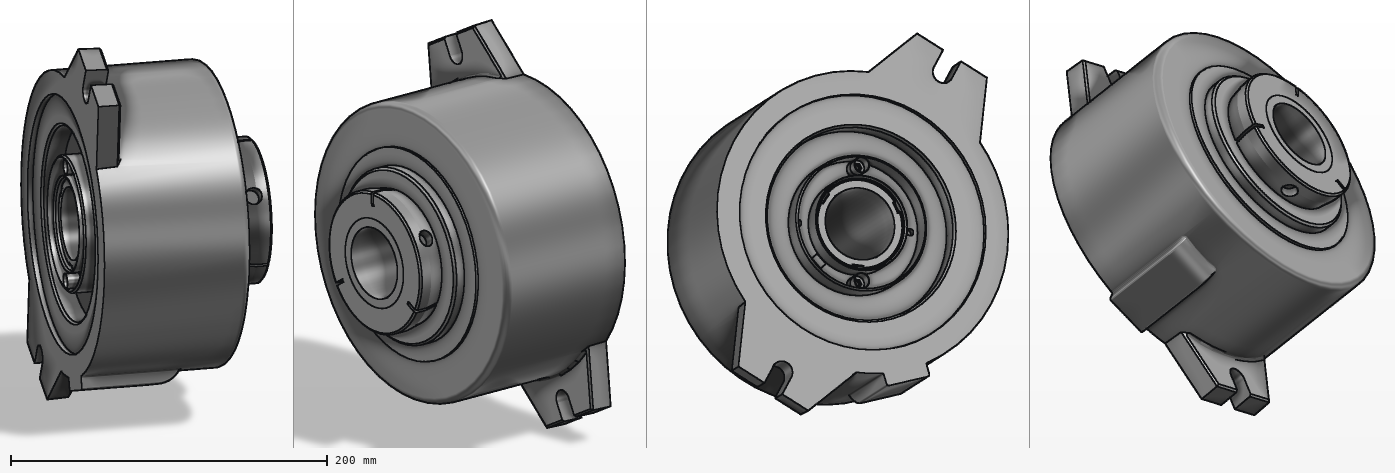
import cadquery as cq
import math


housing_radius = 97.86
housing_depth = 96.2
housing_edge_radius = 4.5
pad_radius = 69.5
pad_top = 98.0
neck_radius = 57.6
neck_top = 105.8
neck_chamfer = 1.5

lug_angle = 62.0
lug_reach = 127.8
lug_tip_half_width = 26.5
lug_root_half_width = 42.4
lug_root_reach = math.sqrt(housing_radius**2 - lug_root_half_width**2)
lug_thickness = 15.0
lug_draft = 2.0
lug_edge_chamfer = 1.3
lug_root_fillet = 2.0
slot_center_reach = 114.8
slot_radius = 6.8

boss_angle = -73.0
boss_reach = 105.3
boss_half_width = 15.0
boss_length = 67.7
boss_end_radius = 17.5
boss_corner_radius = 1.5
boss_root_fillet = 1.5

face_recess_radius = 82.7
face_recess_depth = 3.5
trough_radius = 62.5
trough_depth = 17.0
trough_chamfer = 1.5
rim_radius = 43.9
rim_front = 1.8
rim_chamfer = 1.3
rim_inner_radius = rim_radius - rim_chamfer
well_depth = 16.0
hub_radius = 30.8
hub_front = 2.3
hub_mouth_chamfer = 1.3

sleeve_radius = 29.3
sleeve_bore_radius = 23.3
sleeve_front = 5.3
sleeve_chamfer = 1.0
notch_radius = 3.8
notch_floor = 26.8

screw_circle_radius = 37.5
pin_hole_radius = 2.3
pin_hole_depth = 5.0
key_angle = 225.0
key_reach = 35.8
key_width = 8.5
key_depth = 0.5

screw_radius = 5.0
screw_wall = 0.3
screw_cup_depth = 8.8
socket_width = 5.3
socket_depth = 2.0
socket_tip_radius = 2.0

collar_radius = 46.5
collar_base_radius = 44.5
collar_top = 124.5
collar_taper_top = 116.0
collar_chamfer = 1.3
jaw_angle = 27.3
jaw_count = 3
set_hole_radius = 5.3
set_hole_height = 113.8
set_hole_depth = 8.8
slit_width = 2.0
slit_depth = 8.8


def turned(profile):
    """Revolve a closed (radius, Y) outline around the Y axis."""
    return cq.Workplane("XY").polyline(profile).close().revolve(360, (0, 0, 0), (0, 1, 0))


def disc(radius, start, end):
    """Cylinder on the Y axis between two Y positions."""
    return turned([(0, start), (radius, start), (radius, end), (0, end)])


def turn_to(body, angle):
    """Turn a body built along +X to an angle in the XZ plane."""
    return body.rotate((0, 0, 0), (0, 1, 0), -angle)


def face_sketch(start):
    """Workplane at a Y position, with X to the right, Z up and extrusion towards +Y."""
    return cq.Workplane(cq.Plane((0, start, 0), (1, 0, 0), (0, 1, 0)))


def radial_hole(radius, start, end, height):
    """Cylinder along +X between two distances from the Y axis."""
    return cq.Workplane("YZ", origin=(start, 0, 0)).center(height, 0).circle(radius).extrude(end - start)


def make_lug():
    outline = [
        (0, -lug_root_half_width),
        (lug_root_reach, -lug_root_half_width),
        (lug_reach, -lug_tip_half_width),
        (lug_reach, lug_tip_half_width),
        (lug_root_reach, lug_root_half_width),
        (0, lug_root_half_width),
    ]
    lug = face_sketch(0).polyline(outline).close().extrude(lug_thickness, taper=lug_draft)
    lug = lug.faces(">Y").edges().chamfer(lug_edge_chamfer)
    slot_round = face_sketch(0).center(slot_center_reach, 0).circle(slot_radius).extrude(lug_thickness)
    slot_length = lug_reach - slot_center_reach
    slot_mouth = (
        face_sketch(0)
        .center(slot_center_reach + slot_length / 2, 0)
        .rect(slot_length, 2 * slot_radius)
        .extrude(lug_thickness)
    )
    return lug.cut(slot_round).cut(slot_mouth)


def make_boss():
    boss = cq.Workplane("XY").box(boss_reach, boss_length, 2 * boss_half_width, centered=(False, False, True))
    boss = boss.edges(">X and >Y").fillet(boss_end_radius)
    return boss.faces(">X").edges("|Y").fillet(boss_corner_radius)


def distance_from_axis(point):
    return math.hypot(point.x, point.z)


def boss_root_edges(body):
    """Straight edges where the sides of the boss leave the housing wall."""
    edges = body.edges("|Y").vals()
    return [edge for edge in edges if abs(distance_from_axis(edge.Center()) - housing_radius) < 0.03]


def lug_root_edges(body):
    """Arcs where the backs of the lugs meet the housing wall."""
    edges = body.edges("%CIRCLE").vals()
    return [
        edge
        for edge in edges
        if abs(edge.startPoint().y - lug_thickness) < 0.03
        and abs(distance_from_axis(edge.startPoint()) - housing_radius) < 0.03
    ]


def make_housing_outside():
    body = disc(housing_radius, 0, housing_depth).faces(">Y").edges().fillet(housing_edge_radius)
    body = body.union(disc(pad_radius, housing_depth, pad_top))
    body = body.union(disc(neck_radius, pad_top, neck_top).faces(">Y").chamfer(neck_chamfer))
    for angle in (lug_angle, lug_angle + 180):
        body = body.union(turn_to(make_lug(), angle))
    body = body.union(turn_to(make_boss(), boss_angle))
    body = body.newObject(boss_root_edges(body)).fillet(boss_root_fillet)
    body = body.newObject(lug_root_edges(body)).fillet(lug_root_fillet)

    return body


def cut_recesses(body):
    """Sink the mounting face in steps, leaving a thin rim and a hub around the sleeve bore."""
    step = turned([
        (rim_radius, 0),
        (face_recess_radius, 0),
        (face_recess_radius, face_recess_depth),
        (trough_radius + trough_chamfer, face_recess_depth),
        (trough_radius, face_recess_depth + trough_chamfer),
        (trough_radius, trough_depth),
        (rim_radius, trough_depth),
    ])
    rim_relief = turned([
        (0, 0),
        (rim_radius, 0),
        (rim_radius, rim_front + rim_chamfer),
        (rim_inner_radius, rim_front),
        (0, rim_front),
    ])
    well = turned([
        (hub_radius, rim_front),
        (rim_inner_radius, rim_front),
        (rim_inner_radius, well_depth),
        (hub_radius, well_depth),
    ])
    bore = turned([
        (0, rim_front),
        (hub_radius, rim_front),
        (hub_radius, hub_front),
        (sleeve_radius + hub_mouth_chamfer, hub_front),
        (sleeve_radius, hub_front + hub_mouth_chamfer),
        (sleeve_radius, neck_top),
        (0, neck_top),
    ])
    return body.cut(step).cut(rim_relief).cut(well).cut(bore)


def cut_well_floor_details(body):
    pin_places = [(-screw_circle_radius, 0), (screw_circle_radius, 0)]
    pin_holes = face_sketch(well_depth).pushPoints(pin_places).circle(pin_hole_radius).extrude(pin_hole_depth)
    key_length = key_reach - hub_radius
    key_middle = hub_radius + key_length / 2
    keyway = face_sketch(well_depth).center(key_middle, 0).rect(key_length, key_width).extrude(key_depth)
    return body.cut(pin_holes).cut(turn_to(keyway, key_angle))


def make_sleeve():
    sleeve = disc(sleeve_radius, sleeve_front, collar_top).faces("<Y").chamfer(sleeve_chamfer)
    sleeve = sleeve.cut(disc(sleeve_bore_radius, sleeve_front, collar_top))
    notch = radial_hole(notch_radius, notch_floor, sleeve_radius, sleeve_front)
    for jaw in range(jaw_count):
        sleeve = sleeve.cut(turn_to(notch, jaw_angle + jaw * 360 / jaw_count))
    return sleeve


def make_collar():
    collar = turned([
        (sleeve_radius, neck_top),
        (collar_base_radius, neck_top),
        (collar_radius, collar_taper_top),
        (collar_radius, collar_top - collar_chamfer),
        (collar_radius - collar_chamfer, collar_top),
        (sleeve_radius, collar_top),
    ])
    set_hole = radial_hole(set_hole_radius, collar_radius - set_hole_depth, collar_radius, set_hole_height)
    slit = cq.Workplane("XY").box(slit_depth, collar_top - neck_top, slit_width, centered=(False, False, True))
    slit = slit.translate((collar_radius - slit_depth, neck_top, 0))
    pitch = 360 / jaw_count
    for jaw in range(jaw_count):
        angle = jaw_angle + jaw * pitch
        collar = collar.cut(turn_to(set_hole, angle)).cut(turn_to(slit, angle + pitch / 2))
    return collar


def make_screw(side):
    """Cup-shaped screw head that stands on the well floor, above (+1) or below (-1) the axis."""
    cup_floor = rim_front + screw_cup_depth
    socket_floor = cup_floor + socket_depth
    corner_diameter = socket_width / math.cos(math.pi / 6)
    head = face_sketch(rim_front).circle(screw_radius).extrude(well_depth - rim_front)
    cup = face_sketch(rim_front).circle(screw_radius - screw_wall).extrude(screw_cup_depth)
    socket = face_sketch(cup_floor).polygon(6, corner_diameter).extrude(socket_depth)
    socket_tip = turned([
        (0, socket_floor),
        (socket_tip_radius, socket_floor),
        (0, socket_floor + socket_tip_radius),
    ])
    screw = head.cut(cup).cut(socket).cut(socket_tip)
    return screw.translate((0, 0, side * screw_circle_radius))


housing = cut_well_floor_details(cut_recesses(make_housing_outside()))
sleeve = make_sleeve()
collar = make_collar()
screws = [make_screw(side) for side in (1, -1)]

result = cq.Compound.makeCompound([
    housing.val(),
    sleeve.val(),
    collar.val(),
    *[screw.val() for screw in screws],
])